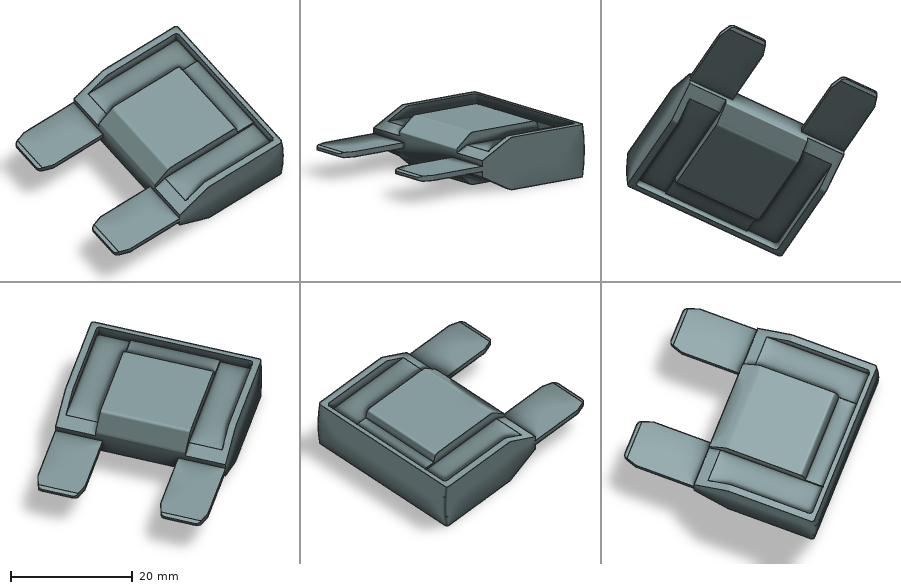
import cadquery as cq

body_width = 29.2
body_height = 8.9
body_depth = 21.55
half_height = body_height / 2

back_bow = 0.4
back_corner_radius = 0.5

rim_front_z = 1.4
rim_slope_length = 6.0
rim_crest_radius = 1.3

side_wall = 1.2
recess_back_y = 20.35
recess_floor_z = 2.45
recess_corner_radius = 0.55

block_width = 15.45
block_front_z = 2.05
block_slope_length = 3.0
block_crest_radius = 1.25
block_nose_radius = 0.5
block_back_y = 17.03
block_back_lean = 0.3
block_back_radius = 0.92
ledge_z = 2.87

blade_width = 8.1
blade_length = 12.7
blade_thickness = 0.9
blade_overlap = 3.0
blade_taper_length = 2.45
blade_taper_inset = 0.85
blade_corner_radius = 0.8
tip_bevel_length = 0.65
tip_bevel_depth = 0.22


def extrude_across(profile, width):
    """Extrude a YZ profile by width, centred on X = 0."""
    return profile.extrude(width / 2, both=True)


def make_shell():
    """Body with a bowed back and sloping front rims."""
    edge_y = body_depth - back_bow
    profile = (
        cq.Workplane("YZ")
        .moveTo(0, -rim_front_z)
        .lineTo(rim_slope_length, -half_height)
        .lineTo(edge_y, -half_height)
        .threePointArc((body_depth, 0), (edge_y, half_height))
        .lineTo(rim_slope_length, half_height)
        .lineTo(0, rim_front_z)
        .close()
    )
    shell = extrude_across(profile, body_width)
    for crest_z in (-half_height, half_height):
        crest = cq.selectors.NearestToPointSelector((0, rim_slope_length, crest_z))
        shell = shell.edges("|X").edges(crest).fillet(rim_crest_radius)
    back_corners = shell.faces(">Y").edges("not |X")
    return back_corners.fillet(back_corner_radius)


def make_recess():
    """Pocket cutter above the recess floor, open toward the front."""
    return (
        cq.Workplane("XY", origin=(0, 0, recess_floor_z))
        .rect(body_width - 2 * side_wall, 2 * recess_back_y)
        .extrude(body_height)
        .edges("|Z")
        .fillet(recess_corner_radius)
    )


def make_block():
    """Raised centre block with a front slope and a rounded step down to the rear ledge."""
    profile = (
        cq.Workplane("YZ")
        .moveTo(0, 0)
        .lineTo(0, block_front_z)
        .lineTo(block_slope_length, half_height)
        .lineTo(block_back_y - block_back_lean, half_height)
        .lineTo(block_back_y, ledge_z)
        .lineTo(recess_back_y, ledge_z)
        .lineTo(recess_back_y, 0)
        .close()
    )
    block = extrude_across(profile, block_width)
    nose = cq.selectors.NearestToPointSelector((0, 0, block_front_z))
    crest = cq.selectors.NearestToPointSelector((0, block_slope_length, half_height))
    block = block.edges("|X").edges(nose).fillet(block_nose_radius)
    block = block.edges("|X").edges(crest).fillet(block_crest_radius)
    back = cq.selectors.NearestToPointSelector((0, block_back_y, half_height))
    return block.edges("|X").edges(back).fillet(block_back_radius)


def make_blade():
    """Blade on the +X side with a tapered, bevelled tip and rounded outline corners."""
    outer_x = body_width / 2
    inner_x = outer_x - blade_width
    taper_y = blade_taper_length - blade_length
    outline = [
        (inner_x, blade_overlap),
        (inner_x, taper_y),
        (inner_x + blade_taper_inset, -blade_length),
        (outer_x - blade_taper_inset, -blade_length),
        (outer_x, taper_y),
        (outer_x, blade_overlap),
    ]
    blade = (
        cq.Workplane("XY")
        .polyline(outline)
        .close()
        .extrude(blade_thickness / 2, both=True)
        .edges("|Z and (not >Y)")
        .fillet(blade_corner_radius)
    )
    half_thickness = blade_thickness / 2
    bevel = (
        cq.Workplane("YZ")
        .moveTo(-blade_length, half_thickness - tip_bevel_depth)
        .lineTo(-blade_length + tip_bevel_length, half_thickness)
        .lineTo(-blade_length, half_thickness)
        .close()
        .extrude(body_width)
    )
    return blade.cut(bevel).cut(bevel.mirror("XY"))


recess = make_recess()
block = make_block()
blade = make_blade()

result = make_shell().cut(recess).cut(recess.mirror("XY"))
result = result.union(block).union(block.mirror("XY"))
result = result.union(blade).union(blade.mirror("YZ")).clean()